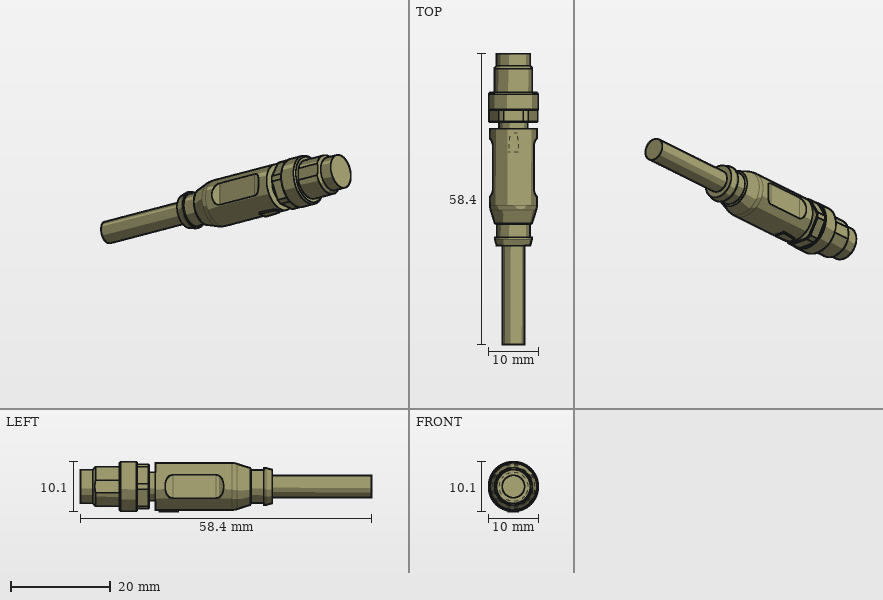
import cadquery as cq
import math

total_length = 58.4
mating_face_y = total_length / 2

tip_diameter = 6.8
tip_end = 2.5
sleeve_diameter = 8.0
sleeve_across_flats = 7.6
flange_diameter = 10.0
flange_start = 7.8
flange_end = 11.4
flange_front_chamfer = 0.35
flange_rear_chamfer = 0.2

nut_across_flats = 9.0
nut_corner_diameter = 9.8
nut_end = 13.8
nut_chamfer = 0.2

neck_diameter = 5.8
body_diameter = 9.5
body_start = 15.05
taper_start = 30.9
taper_end = 34.05
taper_end_diameter = 7.5
taper_blend_length = 0.5
taper_end_chamfer_length = 0.2

relief_diameter = 6.7
collar_start = 36.8
collar_peak = 37.2
collar_end = 38.5
collar_diameter = 7.5
collar_end_diameter = 6.8
cable_diameter = 4.5

grip_across_flats = 8.3
grip_flat_start = 18.55
grip_flat_end = 27.2
grip_end_radius = 2.3

marker_rear_width = 2.0
marker_front_width = 1.3
marker_start = 15.85
marker_end = 19.65
marker_depth = 5.05


def axial(station):
    """Y coordinate of a distance from the mating face."""
    return mating_face_y - station


def cylinder(diameter, start, end):
    """Solid cylinder on the Y axis between two stations."""
    circle = cq.Workplane("XZ", origin=(0, axial(start), 0)).circle(diameter / 2)
    return circle.extrude(end - start)


def make_sleeve():
    """Round sleeve with a flat on each X side and a chamfered front edge."""
    sleeve = cylinder(sleeve_diameter, tip_end, flange_start)
    sleeve = sleeve.faces(">Y").chamfer((sleeve_diameter - tip_diameter) / 2)
    slab = cq.Workplane("XY").box(sleeve_across_flats, total_length, sleeve_diameter)
    return sleeve.intersect(slab)


def make_flange():
    flange = cylinder(flange_diameter, flange_start, flange_end)
    flange = flange.faces(">Y").chamfer(flange_front_chamfer)
    return flange.faces("<Y").chamfer(flange_rear_chamfer)


def make_nut():
    """Hexagon with flats facing +Z and -Z, its corners turned to a cylinder."""
    across_corners = nut_across_flats / math.cos(math.pi / 6)
    plane = cq.Workplane("XZ", origin=(0, axial(flange_end), 0))
    hexagon = plane.polygon(6, across_corners).extrude(nut_end - flange_end)
    turned = cylinder(nut_corner_diameter, flange_end, nut_end)
    return hexagon.intersect(turned).faces("<Y").chamfer(nut_chamfer)


def make_body():
    """Cylinder whose tail tapers through a tangent arc and ends in a small chamfer."""
    body_radius = body_diameter / 2
    end_radius = taper_end_diameter / 2
    taper_angle = math.atan2(body_radius - end_radius, taper_end - taper_start)
    blend_end_radius = body_radius - taper_blend_length * math.sin(taper_angle)
    blend_end = taper_start + taper_blend_length * math.cos(taper_angle)
    profile = (
        cq.Workplane("XY")
        .moveTo(0, axial(body_start))
        .lineTo(body_radius, axial(body_start))
        .lineTo(body_radius, axial(taper_start - taper_blend_length))
        .tangentArcPoint((blend_end_radius, axial(blend_end)), relative=False)
        .lineTo(end_radius, axial(taper_end))
        .lineTo(relief_diameter / 2, axial(taper_end + taper_end_chamfer_length))
        .lineTo(0, axial(taper_end + taper_end_chamfer_length))
        .close()
    )
    return profile.revolve(360, (0, 0, 0), (0, 1, 0))


def make_grip_cutter():
    """Recess on the +X side: a flat floor rising along a tangent arc at each end."""
    floor_x = grip_across_flats / 2
    rim_x = floor_x + grip_end_radius
    arc_step = grip_end_radius * math.sin(math.pi / 4)
    front_y = axial(grip_flat_start)
    rear_y = axial(grip_flat_end)
    profile = (
        cq.Workplane("XY")
        .moveTo(floor_x, rear_y)
        .lineTo(floor_x, front_y)
        .threePointArc((rim_x - arc_step, front_y + arc_step), (rim_x, front_y + grip_end_radius))
        .lineTo(rim_x, rear_y - grip_end_radius)
        .threePointArc((rim_x - arc_step, rear_y - arc_step), (floor_x, rear_y))
        .close()
    )
    return profile.extrude(body_diameter / 2, both=True)


def make_collar():
    """Bead at the end of the strain relief, tapering towards the cable."""
    profile = (
        cq.Workplane("XY")
        .moveTo(0, axial(collar_start))
        .lineTo(collar_diameter / 2, axial(collar_start))
        .lineTo(collar_diameter / 2, axial(collar_peak))
        .lineTo(collar_end_diameter / 2, axial(collar_end))
        .lineTo(0, axial(collar_end))
        .close()
    )
    return profile.revolve(360, (0, 0, 0), (0, 1, 0))


def make_marker():
    """Flat pad proud of the underside of the body, its bowed sides narrowing towards +Y."""
    front_y = axial(marker_start)
    rear_y = axial(marker_end)
    rear_half = marker_rear_width / 2
    front_half = marker_front_width / 2
    length = front_y - rear_y
    side_step = rear_half - front_half
    side_radius = (length**2 + side_step**2) / (2 * side_step)
    half_sweep = math.asin(length / side_radius) / 2
    middle_x = rear_half - side_radius * (1 - math.cos(half_sweep))
    middle_y = rear_y + side_radius * math.sin(half_sweep)
    outline = (
        cq.Workplane("XY")
        .moveTo(-rear_half, rear_y)
        .lineTo(rear_half, rear_y)
        .threePointArc((middle_x, middle_y), (front_half, front_y))
        .lineTo(-front_half, front_y)
        .threePointArc((-middle_x, middle_y), (-rear_half, rear_y))
        .close()
    )
    return outline.extrude(-marker_depth)


grip_cutter = make_grip_cutter()
body = make_body().cut(grip_cutter).cut(grip_cutter.mirror("YZ"))

result = cylinder(tip_diameter, 0, tip_end)
for section in (
    make_sleeve(),
    make_flange(),
    make_nut(),
    cylinder(neck_diameter, nut_end, body_start),
    body,
    make_marker(),
    cylinder(relief_diameter, taper_end, collar_peak),
    make_collar(),
    cylinder(cable_diameter, collar_peak, total_length),
):
    result = result.union(section)